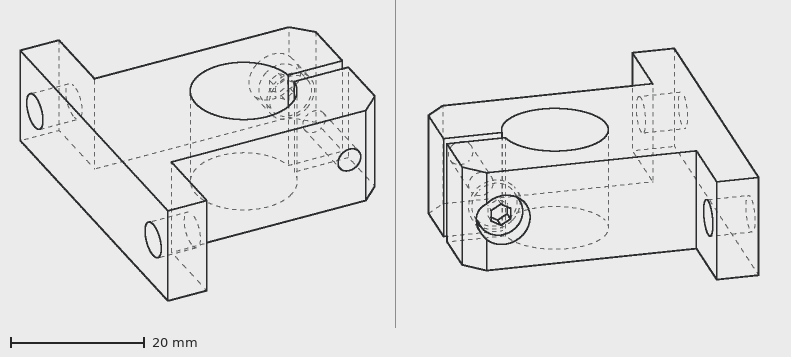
import cadquery as cq
import math

foot_length = 50.0
foot_depth = 6.5
height = 16.0
mount_hole_diameter = 5.5
mount_hole_spacing = 40.0

total_depth = 42.0
block_width = 26.0
corner_chamfer = 3.0
shaft_diameter = 16.0
shaft_center_y = 25.0
slit_width = 2.0

screw_y = 36.25
counterbore_diameter = 8.0
counterbore_depth = 6.0
head_diameter = 7.0
head_height = 4.0
head_edge_radius = 0.5
socket_across_flats = 3.0
socket_depth = 2.0
thread_hole_diameter = 3.8

half_block = block_width / 2
side_x = -half_block
seat_x = side_x + counterbore_depth


def make_body():
    """T-shaped bracket, centred on X and Z, with the mounting face of the foot at Y = 0."""
    foot = cq.Workplane("XY").box(foot_length, foot_depth, height, centered=(True, False, True))
    block = (
        cq.Workplane("XY")
        .box(block_width, total_depth, height, centered=(True, False, True))
        .edges("|Z and >Y")
        .chamfer(corner_chamfer)
    )
    return foot.union(block)


def make_shaft_bore():
    """Shaft bore with the clamping slit that opens it to the +Y end."""
    bore = (
        cq.Workplane("XY")
        .center(0, shaft_center_y)
        .circle(shaft_diameter / 2)
        .extrude(height, both=True)
    )
    slit_length = total_depth - shaft_center_y
    slit = (
        cq.Workplane("XY")
        .center(0, shaft_center_y + slit_length / 2)
        .rect(slit_width, slit_length)
        .extrude(height, both=True)
    )
    return bore.union(slit)


def make_mount_holes():
    """Two holes through the foot along Y."""
    return (
        cq.Workplane("XZ")
        .pushPoints([(-mount_hole_spacing / 2, 0), (mount_hole_spacing / 2, 0)])
        .circle(mount_hole_diameter / 2)
        .extrude(-foot_depth)
    )


def cylinder_along_x(diameter, start_x, end_x):
    """Cylinder on the screw axis between two X positions."""
    return (
        cq.Workplane("YZ", origin=(start_x, screw_y, 0))
        .circle(diameter / 2)
        .extrude(end_x - start_x)
    )


def make_screw_head():
    """Socket head resting on the counterbore floor, with a rounded rim and a hexagonal socket."""
    top_x = seat_x - head_height
    head = cylinder_along_x(head_diameter, top_x, seat_x).faces("<X").edges().fillet(head_edge_radius)
    across_corners = socket_across_flats / math.cos(math.pi / 6)
    socket = (
        cq.Workplane("YZ", origin=(top_x, screw_y, 0))
        .transformed(rotate=(0, 0, 90))
        .polygon(6, across_corners)
        .extrude(socket_depth)
    )
    return head.cut(socket)


counterbore = cylinder_along_x(counterbore_diameter, side_x, seat_x)
thread_hole = cylinder_along_x(thread_hole_diameter, slit_width / 2, half_block)

result = (
    make_body()
    .cut(make_shaft_bore())
    .cut(make_mount_holes())
    .cut(counterbore)
    .cut(thread_hole)
    .union(make_screw_head())
)